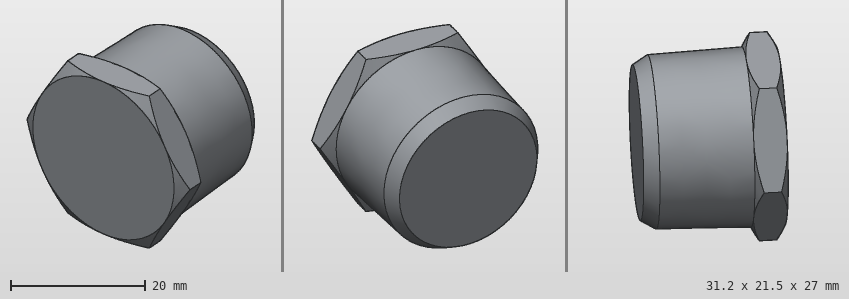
import cadquery as cq
import math

across_corners = 31.18
total_length = 21.5
head_thickness = 5.02
head_chamfer_angle = 30.0
thread_taper = 1 / 16
tip_length = 2.3
tip_radius = 11.65

corner_radius = across_corners / 2
flat_radius = corner_radius * math.cos(math.radians(30))
head_chamfer_height = (corner_radius - flat_radius) * math.tan(math.radians(head_chamfer_angle))

shank_end = total_length - tip_length
shank_end_radius = flat_radius - (shank_end - head_thickness) * thread_taper / 2


def revolve_about_y(profile):
    """Revolve a closed (radius, y) profile about the Y axis."""
    return cq.Workplane("XY").polyline(profile).close().revolve(360, (0, 0, 0), (0, 1, 0))


def make_head():
    """Hexagon with corners on X, its corners chamfered on both faces."""
    hexagon = cq.Workplane("XZ").polygon(6, across_corners).extrude(-head_thickness)
    chamfer_envelope = revolve_about_y([
        (0, 0),
        (flat_radius, 0),
        (corner_radius, head_chamfer_height),
        (corner_radius, head_thickness - head_chamfer_height),
        (flat_radius, head_thickness),
        (0, head_thickness),
    ])
    return hexagon.intersect(chamfer_envelope)


def make_shank():
    """Tapered shank ending in a steeper lead-in cone."""
    return revolve_about_y([
        (0, head_thickness),
        (flat_radius, head_thickness),
        (shank_end_radius, shank_end),
        (tip_radius, total_length),
        (0, total_length),
    ])


result = make_head().union(make_shank())